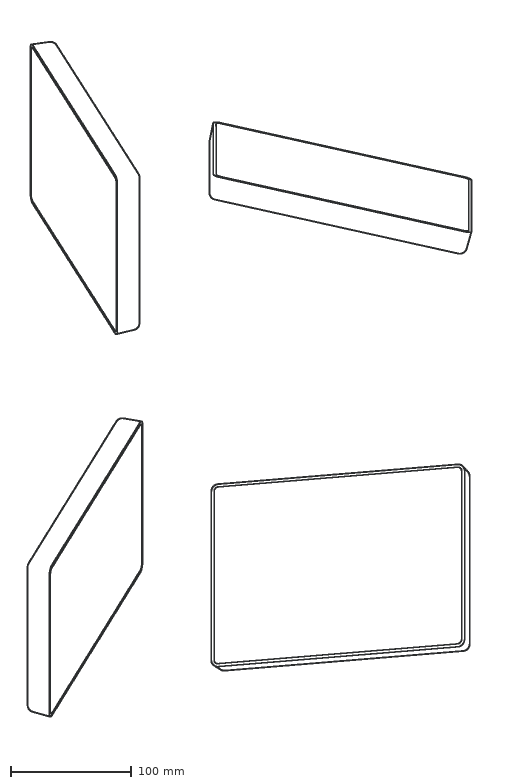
import math

import cadquery as cq

rim_length = 220.72
rim_height = 157.22
total_depth = 21.59
draft_angle = 2.0
edge_radius = 6.096
wall = 2.54

corner_lean = math.atan(math.sqrt(2) * math.tan(math.radians(draft_angle)))
rim_rise = wall * math.sin(corner_lean)


def drafted_block():
    """Solid block, largest at the outer rim edge and narrowing toward +Y."""
    block_depth = total_depth - rim_rise
    return (
        cq.Workplane("XZ", origin=(0, rim_rise, 0))
        .rect(rim_length, rim_height)
        .extrude(-block_depth, taper=draft_angle)
    )


def round_outer_edges(block):
    """Round every edge except the four around the rim."""
    rim_edges = block.faces("<Y").edges().vals()
    outer_edges = [
        edge
        for edge in block.edges().vals()
        if not any(edge.isSame(rim_edge) for rim_edge in rim_edges)
    ]
    return block.newObject(outer_edges).fillet(edge_radius)


def thicken_inward(block):
    """Take the skin of the block without its rim face and give it wall thickness."""
    skin = cq.Shell.makeShell(block.faces("not <Y").vals())
    return cq.occ_impl.shapes.offset(skin, -wall)


rounded_block = round_outer_edges(drafted_block())
result = cq.Workplane(thicken_inward(rounded_block))